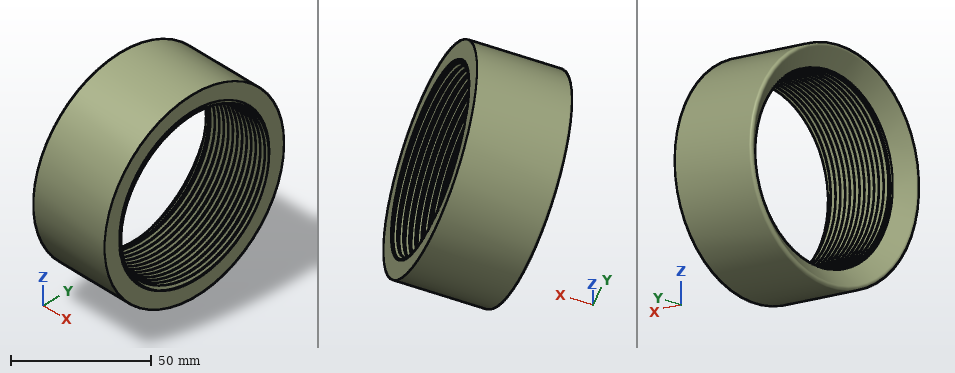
import cadquery as cq
import math


length = 36.9
outer_radius = 90.0 / 2
throat_radius = 73.2 / 2
bore_radius = 75.15 / 2
bore_depth = 30.1
lip_radius = 1.1
flare_angle = 51.0

turns_in_bore = 13
thread_pitch = bore_depth / turns_in_bore
thread_crest_radius = 72.2 / 2
thread_crest_width = 0.3
flank_angle = 27.5
first_crest_offset = 1.0

bore_start_x = length - bore_depth


def make_housing():
    """Ring revolved about X: rounded lip, flared mouth, throat land and thread bore."""
    flare = math.radians(flare_angle)
    lip_center_y = outer_radius - lip_radius
    flare_start_x = lip_radius * (1 - math.sin(flare))
    flare_start_y = lip_center_y - lip_radius * math.cos(flare)
    flare_end_x = flare_start_x + (flare_start_y - throat_radius) / math.tan(flare)
    return (
        cq.Workplane("XY")
        .moveTo(length, outer_radius)
        .lineTo(lip_radius, outer_radius)
        .threePointArc((0, lip_center_y), (flare_start_x, flare_start_y))
        .lineTo(flare_end_x, throat_radius)
        .lineTo(bore_start_x, throat_radius)
        .lineTo(bore_start_x, bore_radius)
        .lineTo(length, bore_radius)
        .close()
        .revolve(360, (0, 0, 0), (1, 0, 0))
    )


def make_thread():
    """Right-handed helical ridge on the bore wall, cut off flat at both ends of the bore."""
    ridge_height = bore_radius - thread_crest_radius
    half_crest = thread_crest_width / 2
    half_base = half_crest + ridge_height * math.tan(math.radians(flank_angle))
    swept_turns = turns_in_bore + 2
    helix = cq.Wire.makeHelix(thread_pitch, swept_turns * thread_pitch, bore_radius)
    ridge = (
        cq.Workplane("XZ")
        .polyline([
            (bore_radius, -half_base),
            (thread_crest_radius, -half_crest),
            (thread_crest_radius, half_crest),
            (bore_radius, half_base),
        ])
        .close()
        .sweep(cq.Workplane(helix), isFrenet=True)
    )
    sweep_start_x = bore_start_x + first_crest_offset - thread_pitch
    ridge = ridge.rotate((0, 0, 0), (0, 1, 0), 90).translate((sweep_start_x, 0, 0))
    bore_span = (
        cq.Workplane("YZ", origin=(bore_start_x, 0, 0))
        .rect(2 * outer_radius, 2 * outer_radius)
        .extrude(bore_depth)
    )
    return ridge.intersect(bore_span).solids()


housing = make_housing()
thread = make_thread()
result = cq.Compound.makeCompound([housing.val(), thread.val()])